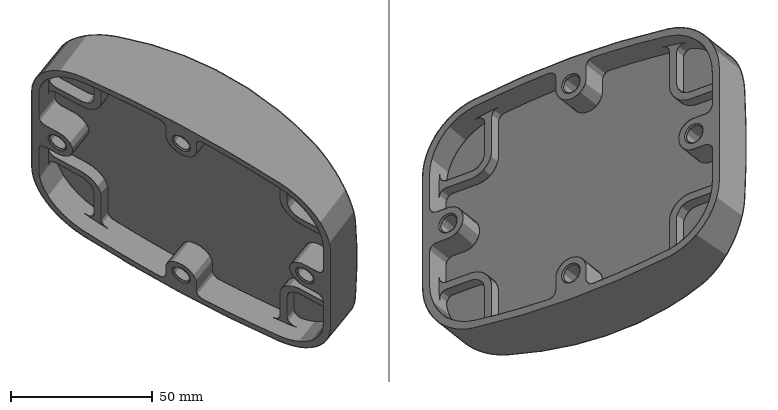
import cadquery as cq
import math

length = 127.0
height = 101.5
depth = 29.2
long_side_radius = 317.5
corner_radius = 25.4

wall = 3.0
cavity_depth = 10.4
inner_fillet = 3.0

boss_radius = 6.5
boss_x = 52.6
boss_z = 39.9
hole_radius = 3.4
hole_chamfer = 0.5
hole_depth = 7.6
drill_angle = 118.0

rib_thickness = 3.0
rib_height = 4.3
rib_x = 38.0
rib_z = 19.8
rib_bend_radius = 9.0

dome_apex = 31.5
dome_radius_x = 146.0
dome_radius_z = 298.5

groove_bottom = 25.5
groove_crest_z = math.sqrt(dome_radius_z ** 2 - (dome_radius_z - dome_apex + depth) ** 2)
groove_arc_z = 16.5
groove_arc_rise = 1.1

half_length = length / 2
half_height = height / 2
clearance = 12.7
outward_reach = 12.7
rib_top = cavity_depth - rib_height
joint_zone_x = 55.9
joint_zone_z = 43.2
tolerance = 0.01
boss_places = [(boss_x, 0), (0, boss_z), (-boss_x, 0), (0, -boss_z)]


def front_plane(y):
    """Workplane with local axes X and Z; extruding a negative length runs towards +Y."""
    return cq.Workplane("XZ", origin=(0, y, 0))


def outline(inset):
    """Rounded outline: straight short sides, bowed long sides and tangent corners."""
    bow = long_side_radius - inset
    corner = corner_radius - inset
    x_side = half_length - inset
    z_top = half_height - inset
    bow_centre = half_height - long_side_radius
    corner_x = half_length - corner_radius
    corner_z = bow_centre + math.sqrt((long_side_radius - corner_radius) ** 2 - corner_x ** 2)
    lean = math.asin(corner_x / (long_side_radius - corner_radius))
    tangent_x = bow * math.sin(lean)
    tangent_z = bow_centre + bow * math.cos(lean)
    middle = (math.pi / 2 - lean) / 2
    mid_x = corner_x + corner * math.cos(middle)
    mid_z = corner_z + corner * math.sin(middle)
    return (
        front_plane(0)
        .moveTo(x_side, -corner_z)
        .lineTo(x_side, corner_z)
        .threePointArc((mid_x, mid_z), (tangent_x, tangent_z))
        .threePointArc((0, z_top), (-tangent_x, tangent_z))
        .threePointArc((-mid_x, mid_z), (-x_side, corner_z))
        .lineTo(-x_side, -corner_z)
        .threePointArc((-mid_x, -mid_z), (-tangent_x, -tangent_z))
        .threePointArc((0, -z_top), (tangent_x, -tangent_z))
        .threePointArc((mid_x, -mid_z), (x_side, -corner_z))
        .close()
    )


def dome():
    """Solid below the back: an arc over X turned about an axis along X."""
    edge_x = half_length + clearance
    edge_y = dome_apex - dome_radius_x + math.sqrt(dome_radius_x ** 2 - edge_x ** 2)
    axis_y = dome_apex - dome_radius_z
    profile = (
        cq.Workplane("XY")
        .moveTo(-edge_x, axis_y)
        .lineTo(-edge_x, edge_y)
        .threePointArc((0, dome_apex), (edge_x, edge_y))
        .lineTo(edge_x, axis_y)
        .close()
    )
    return profile.revolve(360, (0, axis_y, 0), (1, axis_y, 0))


def groove():
    """Shallow groove along X with a rounded bottom and straight flanks."""
    arc_y = groove_bottom + groove_arc_rise
    flank_slope = (depth - arc_y) / (groove_crest_z - groove_arc_z)
    end_z = half_height + clearance
    end_y = arc_y + flank_slope * (end_z - groove_arc_z)
    return (
        cq.Workplane("YZ")
        .moveTo(end_y, -end_z)
        .lineTo(arc_y, -groove_arc_z)
        .threePointArc((groove_bottom, 0), (arc_y, groove_arc_z))
        .lineTo(end_y, end_z)
        .close()
        .extrude(half_length + clearance, both=True)
    )


def outward_block(x, z):
    """Block that carries a boss on an X or Z axis outwards through the wall."""
    along_x = z == 0
    width_x = outward_reach if along_x else 2 * boss_radius
    width_z = 2 * boss_radius if along_x else outward_reach
    shift_x = math.copysign(outward_reach / 2, x) if along_x else 0
    shift_z = 0 if along_x else math.copysign(outward_reach / 2, z)
    return front_plane(0).center(x + shift_x, z + shift_z).rect(width_x, width_z).extrude(-cavity_depth)


def slab(start, end):
    """Slab across the whole part from Y = start to Y = end."""
    return front_plane(start).rect(2 * length, 2 * length).extrude(start - end)


def bosses():
    """Round-nosed bosses that grow out of the wall."""
    pillars = front_plane(0).pushPoints(boss_places).circle(boss_radius).extrude(-cavity_depth)
    for x, z in boss_places:
        pillars = pillars.union(outward_block(x, z))
    return pillars


def corner_block(x_sign, z_sign, inset):
    """Block over one corner of the floor with its innermost edge rounded."""
    block_x = half_length - rib_x
    block_z = half_height - rib_z
    return (
        front_plane(rib_top)
        .center(x_sign * (rib_x + inset + block_x / 2), z_sign * (rib_z + inset + block_z / 2))
        .rect(block_x, block_z)
        .extrude(-rib_height)
        .edges("|Y")
        .edges(cq.NearestToPointSelector((0, cavity_depth, 0)))
        .fillet(rib_bend_radius - inset)
    )


def corner_rib(x_sign, z_sign):
    """Bent rib that fences off one corner of the floor."""
    return corner_block(x_sign, z_sign, 0).cut(corner_block(x_sign, z_sign, rib_thickness))


def round_wall_joints(solid, faces_x, faces_z):
    """Fillet the edges along Y where the named boss or rib faces meet the wall."""
    def is_joint(edge):
        x = abs(edge.Center().x)
        z = abs(edge.Center().z)
        on_long_wall = z > joint_zone_z and any(abs(x - face) < tolerance for face in faces_x)
        on_short_wall = x > joint_zone_x and any(abs(z - face) < tolerance for face in faces_z)
        return on_long_wall or on_short_wall

    return solid.edges("|Y").filter(is_joint).fillet(inner_fillet)


def cavity():
    """Hollow of the part: full below the rim, divided by the ribs near the floor."""
    hollow = outline(wall).extrude(-cavity_depth).cut(bosses())
    hollow = round_wall_joints(hollow, [boss_radius], [boss_radius])
    upper = hollow.intersect(slab(0, rib_top))
    lower = hollow.intersect(slab(rib_top, cavity_depth))
    for x_sign in (-1, 1):
        for z_sign in (-1, 1):
            lower = lower.cut(corner_rib(x_sign, z_sign))
    rib_faces_x = [rib_x, rib_x + rib_thickness]
    rib_faces_z = [rib_z, rib_z + rib_thickness]
    for pocket in lower.solids().vals():
        upper = upper.union(round_wall_joints(cq.Workplane(pocket), rib_faces_x, rib_faces_z))
    return upper


def screw_hole():
    """Blind drilled hole with a conical bottom and a small chamfer at the mouth, along +Y."""
    return (
        cq.Workplane("XY")
        .lineTo(hole_radius + hole_chamfer, 0)
        .lineTo(hole_radius, hole_chamfer)
        .lineTo(hole_radius, hole_depth)
        .lineTo(0, hole_depth + hole_radius / math.tan(math.radians(drill_angle / 2)))
        .close()
        .revolve(360, (0, 0, 0), (0, 1, 0))
    )


result = outline(0).extrude(-dome_apex).intersect(dome()).cut(groove()).cut(cavity())
for hole_x, hole_z in boss_places:
    result = result.cut(screw_hole().translate((hole_x, 0, hole_z)))